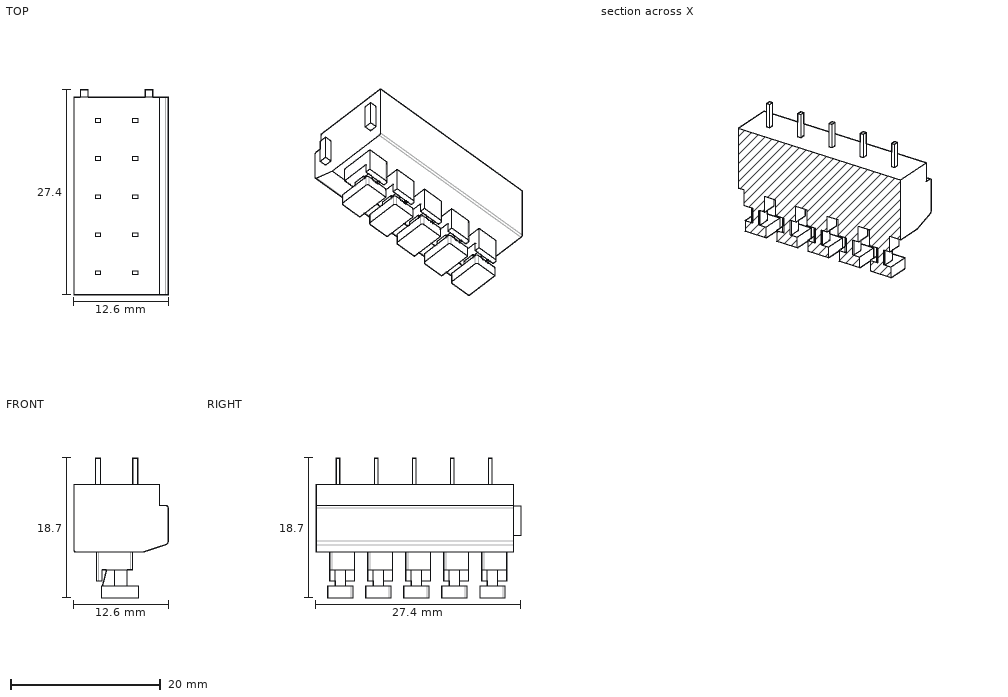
import cadquery as cq

BUTTON_HEIGHT = 1.65
STEM_HEIGHT = 2.15
SOCKET_HEIGHT = 2.35
BODY_HEIGHT = 9.05
PIN_HEIGHT = 3.5

SOCKET_BOTTOM = BUTTON_HEIGHT + STEM_HEIGHT
BODY_BOTTOM = SOCKET_BOTTOM + SOCKET_HEIGHT
BODY_TOP = BODY_BOTTOM + BODY_HEIGHT

BODY_WIDTH = 12.6
BODY_LENGTH = 26.4
STEP_WIDTH = 1.15
STEP_DEPTH = 2.8
CHAMFER_WIDTH = 3.35
CHAMFER_HEIGHT = 1.1
BODY_LOWER_LEFT_RADIUS = 0.25
BODY_LEDGE_RADIUS = 0.35
BODY_CHAMFER_RADIUS = 0.5

POLE_COUNT = 5
POLE_PITCH = 5.08
FIRST_POLE_Y = 2.95

PIN_WIDTH = 0.7
PIN_THICKNESS = 0.5
PIN_CENTRES_X = (3.2, 8.2)

SOCKET_LEFT = 3.0
SOCKET_WIDTH = 4.85
SOCKET_LENGTH = 3.35
SOCKET_OFFSET_Y = 0.53
TONGUE_THICKNESS = 0.75
TONGUE_DROP = 1.5
EDGE_RADIUS = 0.3

STEM_OFFSET_Y = 0.29
STEM_LEFT = 5.4
STEM_WIDTH = 1.7
STEM_LENGTH = 1.4
WEDGE_LENGTH = 1.0
WEDGE_TOP_LEFT = 4.35
WEDGE_BOTTOM_LEFT = 3.8

BUTTON_LEFT = 3.65
BUTTON_WIDTH = 5.0
BUTTON_LENGTH = 3.4
BUTTON_OFFSET_Y = 0.3

PEG_LENGTH = 1.0
PEG_WIDTH = 1.05
PEG_HEIGHT = 4.0
PEG_BELOW_TOP = 2.85
PEG_LEFT_EDGES = (0.85, 9.5)


def block(left, width, centre_y, length, bottom, height):
    """Box given by its left X, its middle in Y and its bottom Z."""
    base = cq.Workplane("XY").box(width, length, height, centered=(False, True, False))
    return base.translate((left, centre_y, bottom))


def make_body():
    """Stepped and chamfered housing, with its -Y face at Y = 0."""
    ledge_z = BODY_TOP - STEP_DEPTH
    profile = [
        (0, BODY_BOTTOM),
        (BODY_WIDTH - CHAMFER_WIDTH, BODY_BOTTOM),
        (BODY_WIDTH, BODY_BOTTOM + CHAMFER_HEIGHT),
        (BODY_WIDTH, ledge_z),
        (BODY_WIDTH - STEP_WIDTH, ledge_z),
        (BODY_WIDTH - STEP_WIDTH, BODY_TOP),
        (0, BODY_TOP),
    ]
    body = cq.Workplane("XZ").polyline(profile).close().extrude(-BODY_LENGTH)
    rounded_edges = [
        (0, BODY_BOTTOM, BODY_LOWER_LEFT_RADIUS),
        (BODY_WIDTH, BODY_BOTTOM + CHAMFER_HEIGHT, BODY_CHAMFER_RADIUS),
        (BODY_WIDTH, ledge_z, BODY_LEDGE_RADIUS),
    ]
    for x, z, radius in rounded_edges:
        nearest = cq.selectors.NearestToPointSelector((x, BODY_LENGTH / 2, z))
        body = body.edges("|Y").edges(nearest).fillet(radius)
    return body


def make_pegs():
    """Two rectangular pegs standing out of the +Y end face."""
    pegs = cq.Workplane("XY")
    centre_y = BODY_LENGTH + PEG_LENGTH / 2
    bottom = BODY_TOP - PEG_BELOW_TOP - PEG_HEIGHT
    for left in PEG_LEFT_EDGES:
        pegs = pegs.add(block(left, PEG_WIDTH, centre_y, PEG_LENGTH, bottom, PEG_HEIGHT))
    return pegs.combine()


def make_pins(pole_y):
    """Pair of rectangular pins on top of the body."""
    pins = cq.Workplane("XY")
    for x in PIN_CENTRES_X:
        pins = pins.add(block(x - PIN_WIDTH / 2, PIN_WIDTH, pole_y, PIN_THICKNESS, BODY_TOP, PIN_HEIGHT))
    return pins.combine()


def make_socket(pole_y):
    """Guide block under the body with a tongue reaching down on its -X side."""
    height = SOCKET_HEIGHT + TONGUE_DROP
    bottom = SOCKET_BOTTOM - TONGUE_DROP
    centre_y = pole_y + SOCKET_OFFSET_Y
    socket = block(SOCKET_LEFT, SOCKET_WIDTH, centre_y, SOCKET_LENGTH, bottom, height)
    socket = socket.faces("<Y").edges("|Z").fillet(EDGE_RADIUS)
    relief_left = SOCKET_LEFT + TONGUE_THICKNESS
    relief_width = SOCKET_WIDTH - TONGUE_THICKNESS
    relief = block(relief_left, relief_width, centre_y, SOCKET_LENGTH, bottom, TONGUE_DROP)
    return socket.cut(relief)


def make_stem(pole_y):
    """Post between socket and button, with a narrower wedge on its -X side."""
    centre_y = pole_y + STEM_OFFSET_Y
    post = block(STEM_LEFT, STEM_WIDTH, centre_y, STEM_LENGTH, BUTTON_HEIGHT, STEM_HEIGHT)
    wedge_profile = [
        (WEDGE_BOTTOM_LEFT, BUTTON_HEIGHT),
        (STEM_LEFT, BUTTON_HEIGHT),
        (STEM_LEFT, SOCKET_BOTTOM),
        (WEDGE_TOP_LEFT, SOCKET_BOTTOM),
    ]
    wedge = cq.Workplane("XZ").polyline(wedge_profile).close().extrude(WEDGE_LENGTH / 2, both=True)
    return post.union(wedge.translate((0, centre_y, 0)))


def make_button(pole_y):
    """Push button with its two upright +Y edges rounded."""
    centre_y = pole_y + BUTTON_OFFSET_Y
    button = block(BUTTON_LEFT, BUTTON_WIDTH, centre_y, BUTTON_LENGTH, 0, BUTTON_HEIGHT)
    return button.faces(">Y").edges("|Z").fillet(EDGE_RADIUS)


result = make_body().union(make_pegs())
for pole in range(POLE_COUNT):
    y = FIRST_POLE_Y + pole * POLE_PITCH
    for make_feature in (make_pins, make_socket, make_stem, make_button):
        result = result.union(make_feature(y))